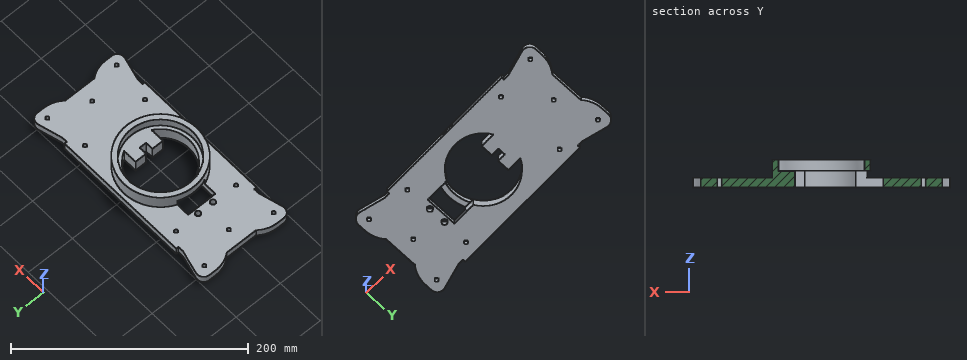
import cadquery as cq
import math

length = 216.5
width = 99.0
plate_thickness = 8.5
ear_radius = 7.4
ear_taper_angle = math.radians(15)
ear_flat_bottom = 34.9
ear_blend_radius = 28.0
end_edge_x = 101.5
shoulder_x = 75.5
rail_half_length = 70.1
rail_half_width = 45.5

total_height = 23.5
ring_diameter = 83.0
seat_diameter = 72.0
seat_depth = 9.5
bore_diameter = 65.0
seat_height = total_height - seat_depth

opening_start_x = -51.7
opening_width = 30.7

tab_front_x = 14.0
tab_width = 31.2
notch_depth = 8.0
notch_width = 7.1

small_hole_diameter = 3.5
large_hole_diameter = 5.2
ear_hole_x, ear_hole_y = 98.5, 39.2
inner_hole_x, inner_hole_y = 57.2, 34.0
end_hole_x = 85.7
large_hole_x, large_hole_y = -56.5, 8.5


def plate_quarter():
    """Quarter of the plate in +X +Y, bounded by the symmetry axes."""
    half_length = length / 2
    ear_x = half_length - ear_radius
    ear_y = width / 2 - ear_radius

    def on_ear(angle):
        return (ear_x + ear_radius * math.cos(angle), ear_y + ear_radius * math.sin(angle))

    taper_angle = math.pi / 2 + ear_taper_angle
    taper_start = on_ear(taper_angle)
    shoulder_y = taper_start[1] - (taper_start[0] - shoulder_x) * math.tan(ear_taper_angle)

    blend_center_x = half_length - ear_blend_radius
    blend_angle = math.acos((end_edge_x - blend_center_x) / ear_blend_radius)

    def on_blend(angle):
        return (
            blend_center_x + ear_blend_radius * math.cos(angle),
            ear_flat_bottom - ear_blend_radius * math.sin(angle),
        )

    return (
        cq.Workplane("XY")
        .lineTo(0, rail_half_width)
        .lineTo(rail_half_length, rail_half_width)
        .lineTo(rail_half_length, shoulder_y)
        .lineTo(shoulder_x, shoulder_y)
        .lineTo(*taper_start)
        .threePointArc(on_ear(taper_angle / 2), on_ear(0))
        .lineTo(half_length, ear_flat_bottom)
        .threePointArc(on_blend(blend_angle / 2), on_blend(blend_angle))
        .lineTo(end_edge_x, 0)
        .close()
        .extrude(plate_thickness)
    )


def make_plate():
    quarter = plate_quarter()
    half = quarter.union(quarter.mirror("XZ"))
    return half.union(half.mirror("YZ")).clean()


def cylinder(diameter, bottom, top):
    return cq.Workplane("XY").workplane(offset=bottom).circle(diameter / 2).extrude(top - bottom)


def block(start_x, end_x, block_width):
    """Block centred on the X axis, from the underside up to the seat."""
    return cq.Workplane("XY").box(
        end_x - start_x, block_width, seat_height, centered=(False, True, False)
    ).translate((start_x, 0, 0))


def make_tab():
    tab = block(tab_front_x, seat_diameter / 2, tab_width)
    tab = tab.cut(block(tab_front_x, tab_front_x + notch_depth, notch_width))
    return tab.intersect(cylinder(ring_diameter, 0, seat_height))


def mirrored_points(x, y):
    return [(sx * x, sy * y) for sx in (-1, 1) for sy in (-1, 1)]


def hole_cutters(points, diameter):
    return cq.Workplane("XY").pushPoints(points).circle(diameter / 2).extrude(plate_thickness)


small_hole_points = (
    mirrored_points(ear_hole_x, ear_hole_y)
    + mirrored_points(inner_hole_x, inner_hole_y)
    + [(-end_hole_x, 0), (end_hole_x, 0)]
)
large_hole_points = [(large_hole_x, -large_hole_y), (large_hole_x, large_hole_y)]

result = make_plate().union(cylinder(ring_diameter, 0, total_height))
result = result.cut(cylinder(seat_diameter, seat_height, total_height))
result = result.cut(cylinder(bore_diameter, 0, seat_height))
result = result.cut(block(opening_start_x, 0, opening_width))
result = result.union(make_tab())
result = result.cut(hole_cutters(small_hole_points, small_hole_diameter))
result = result.cut(hole_cutters(large_hole_points, large_hole_diameter))